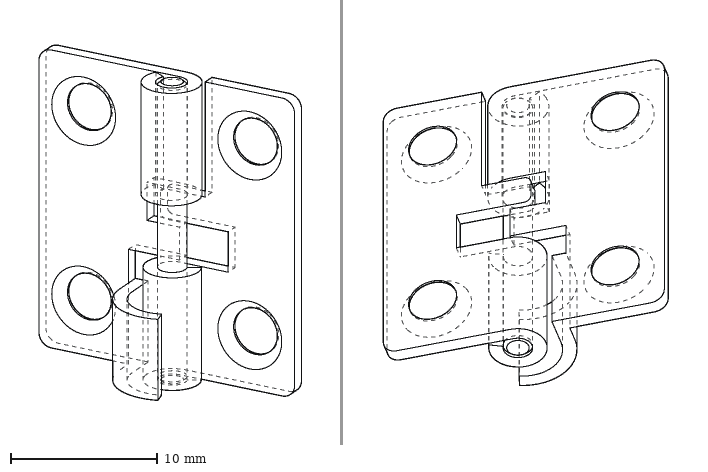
import cadquery as cq
import math

HEIGHT = 22.0
WIDTH = 20.0
DEPTH = 6.0
THICKNESS = 1.0
CORNER_RADIUS = 1.0

HOLE_X = 6.5
HOLE_EDGE_DISTANCE = 4.0
HOLE_DIAMETER = 3.4
SINK_DIAMETER = 5.0
SINK_ANGLE = 90.0

PIN_RADIUS = 1.01
PIN_CHAMFER = 0.25
PIN_X = 1.0
PIN_Y = -(THICKNESS + PIN_RADIUS)

UPPER_BORE_RADIUS = 1.1
UPPER_KNUCKLE_BOTTOM = 13.7
UPPER_CURL_ANGLE = 300.0
LOWER_KNUCKLE_TOP = 8.32
LOWER_CURL_ANGLE = 295.0

LEFT_WINDOW_X = -1.55
LEFT_TONGUE_TOP = 10.9
LEFT_TONGUE_BOTTOM = 8.47
LEFT_EDGE_X = -3.0

RIGHT_EDGE_X = 3.0
RIGHT_TONGUE_TOP = 13.5
RIGHT_TONGUE_BOTTOM = 11.29
RIGHT_TONGUE_X = -0.5
RIGHT_TONGUE_RADIUS = 0.5
RIGHT_WINDOW_X = 4.8

HOOK_HEIGHT = 5.98
HOOK_OUTER_RADIUS = 3.75
HOOK_OUTER_SWEEP = 109.0
HOOK_INNER_SWEEP = 111.0


def plate(outline):
    """Extrude an XZ outline forward from the back face by the sheet thickness."""
    return cq.Workplane("XZ").polyline(outline).close().extrude(THICKNESS)


def round_outer_corners(leaf, side):
    return leaf.edges("|Y").edges(side).fillet(CORNER_RADIUS)


def drill_screw_holes(leaf, x):
    heights = [HOLE_EDGE_DISTANCE, HEIGHT - HOLE_EDGE_DISTANCE]
    return (
        cq.Workplane("XZ", origin=(0, -THICKNESS, 0))
        .add(leaf)
        .pushPoints([(x, z) for z in heights])
        .cskHole(HOLE_DIAMETER, SINK_DIAMETER, SINK_ANGLE)
    )


def curl(bore_radius, sweep, bottom, top, direction):
    """Sheet rolled forward from the back face; direction +1 rolls over to +X, -1 to -X."""
    outer_radius = bore_radius + THICKNESS

    def polar(radius, angle):
        turn = math.radians(angle)
        return (PIN_X + direction * radius * math.sin(turn), radius * math.cos(turn) - outer_radius)

    return (
        cq.Workplane("XY", origin=(0, 0, bottom))
        .moveTo(*polar(outer_radius, 0))
        .threePointArc(polar(outer_radius, sweep / 2), polar(outer_radius, sweep))
        .lineTo(*polar(bore_radius, sweep))
        .threePointArc(polar(bore_radius, sweep / 2), polar(bore_radius, 0))
        .close()
        .extrude(top - bottom)
    )


def make_hook():
    inner_radius = HOOK_OUTER_RADIUS - THICKNESS
    center_x = LEFT_EDGE_X + HOOK_OUTER_RADIUS
    center_y = HOOK_OUTER_RADIUS - DEPTH

    def polar(radius, angle):
        turn = math.radians(180 + angle)
        return (center_x + radius * math.cos(turn), center_y + radius * math.sin(turn))

    return (
        cq.Workplane("XY")
        .moveTo(LEFT_EDGE_X, 0)
        .lineTo(LEFT_EDGE_X, center_y)
        .threePointArc(polar(HOOK_OUTER_RADIUS, HOOK_OUTER_SWEEP / 2), polar(HOOK_OUTER_RADIUS, HOOK_OUTER_SWEEP))
        .lineTo(*polar(inner_radius, HOOK_INNER_SWEEP))
        .threePointArc(polar(inner_radius, HOOK_INNER_SWEEP / 2), polar(inner_radius, 0))
        .lineTo(LEFT_EDGE_X + THICKNESS, 0)
        .close()
        .extrude(HOOK_HEIGHT)
    )


def make_left_leaf():
    leaf = plate([
        (-WIDTH / 2, 0),
        (LEFT_EDGE_X, 0),
        (LEFT_EDGE_X, LEFT_TONGUE_BOTTOM),
        (PIN_X, LEFT_TONGUE_BOTTOM),
        (PIN_X, LEFT_TONGUE_TOP),
        (LEFT_WINDOW_X, LEFT_TONGUE_TOP),
        (LEFT_WINDOW_X, UPPER_KNUCKLE_BOTTOM),
        (PIN_X, UPPER_KNUCKLE_BOTTOM),
        (PIN_X, HEIGHT),
        (-WIDTH / 2, HEIGHT),
    ])
    leaf = round_outer_corners(leaf, "<X")
    leaf = drill_screw_holes(leaf, -HOLE_X)
    knuckle = curl(UPPER_BORE_RADIUS, UPPER_CURL_ANGLE, UPPER_KNUCKLE_BOTTOM, HEIGHT, 1)
    return leaf.union(knuckle).union(make_hook())


def make_right_leaf():
    leaf = plate([
        (WIDTH / 2, 0),
        (PIN_X, 0),
        (PIN_X, LOWER_KNUCKLE_TOP),
        (RIGHT_WINDOW_X, LOWER_KNUCKLE_TOP),
        (RIGHT_WINDOW_X, RIGHT_TONGUE_BOTTOM),
        (RIGHT_TONGUE_X, RIGHT_TONGUE_BOTTOM),
        (RIGHT_TONGUE_X, RIGHT_TONGUE_TOP),
        (RIGHT_EDGE_X, RIGHT_TONGUE_TOP),
        (RIGHT_EDGE_X, HEIGHT),
        (WIDTH / 2, HEIGHT),
    ])
    leaf = round_outer_corners(leaf, ">X")
    leaf = leaf.edges("|Y").edges("<X").fillet(RIGHT_TONGUE_RADIUS)
    leaf = drill_screw_holes(leaf, HOLE_X)
    knuckle = curl(PIN_RADIUS, LOWER_CURL_ANGLE, 0, LOWER_KNUCKLE_TOP, -1)
    return leaf.union(knuckle)


def make_pin():
    pin = cq.Workplane("XY").center(PIN_X, PIN_Y).circle(PIN_RADIUS).extrude(HEIGHT)
    return pin.faces("<Z or >Z").chamfer(PIN_CHAMFER)


left_leaf = make_left_leaf()
right_leaf = make_right_leaf()
pin = make_pin()

result = cq.Compound.makeCompound([left_leaf.solids().val(), right_leaf.solids().val(), pin.solids().val()])